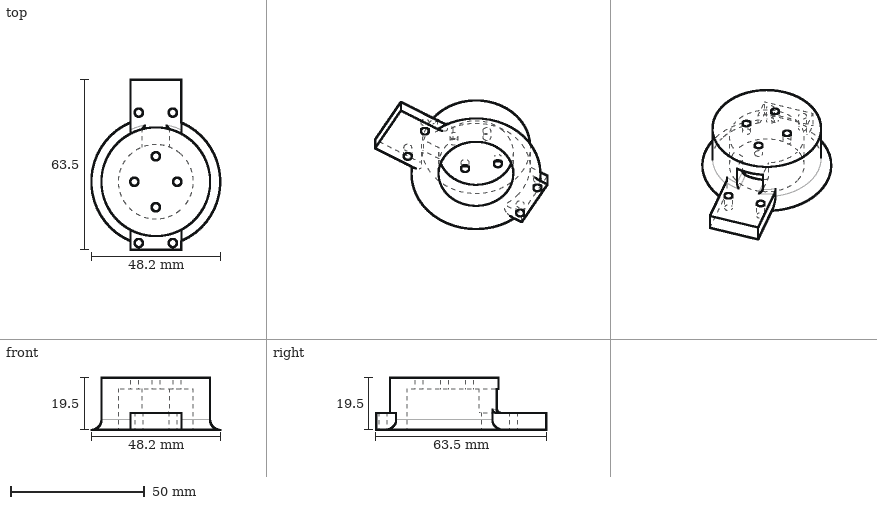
import cadquery as cq
import math

body_diameter = 40.6
body_radius = body_diameter / 2
body_height = 19.5
cavity_diameter = 27.9
cavity_depth = 15.24
skirt_radius = 3.81

pad_width = 19.05
pad_height = 6.35
front_pad_end = -25.4
rear_pad_end = 38.1

slot_width = 10.16
slot_fillet = 1.27

hole_diameter = 3.0
top_hole_x = 8.0
top_hole_y = 9.5
pad_hole_x = 6.35
front_pad_hole_y = -22.86
rear_pad_hole_y = 25.8


def make_flared_body():
    """Solid cylinder whose foot flares out tangent to the wall and the base plane."""
    arc_offset = skirt_radius * (1 - math.sqrt(0.5))
    profile = (
        cq.Workplane("XZ")
        .lineTo(body_radius + skirt_radius, 0)
        .threePointArc((body_radius + arc_offset, arc_offset), (body_radius, skirt_radius))
        .lineTo(body_radius, body_height)
        .lineTo(0, body_height)
        .close()
    )
    return profile.revolve(360, (0, 0, 0), (0, 1, 0))


def make_pads():
    """One bar running under the body; its two ends form the mounting pads."""
    length = rear_pad_end - front_pad_end
    middle_y = (rear_pad_end + front_pad_end) / 2
    return (
        cq.Workplane("XY")
        .center(0, middle_y)
        .rect(pad_width, length)
        .extrude(pad_height)
    )


def make_cavity():
    return cq.Workplane("XY").circle(cavity_diameter / 2).extrude(cavity_depth)


def make_slot():
    """Radial cut through the rear wall, from the pad top up to the cavity ceiling."""
    return (
        cq.Workplane("XY")
        .workplane(offset=pad_height)
        .center(0, rear_pad_end / 2)
        .rect(slot_width, rear_pad_end)
        .extrude(cavity_depth - pad_height)
    )


def make_holes():
    centers = [(-top_hole_x, 0), (top_hole_x, 0), (0, -top_hole_y), (0, top_hole_y)]
    for y in (front_pad_hole_y, rear_pad_hole_y):
        for side in (-1, 1):
            centers.append((side * pad_hole_x, y))
    return cq.Workplane("XY").pushPoints(centers).circle(hole_diameter / 2).extrude(body_height)


def round_slot_foot(part):
    """Fillet the rear wall and the slot sides where they stand on the pad."""
    half_pad = pad_width / 2
    half_slot = slot_width / 2
    wall_edge_y = math.sqrt(body_radius**2 - half_pad**2)
    wall_middle_x = (half_pad + half_slot) / 2
    wall_middle_y = (wall_edge_y + math.sqrt(body_radius**2 - half_slot**2)) / 2
    slot_middle_y = (body_radius + cavity_diameter / 2) / 2
    for side in (-1, 1):
        slot_side = cq.selectors.NearestToPointSelector((side * half_slot, slot_middle_y, pad_height))
        wall_foot = cq.selectors.NearestToPointSelector((side * wall_middle_x, wall_middle_y, pad_height))
        part = part.edges(slot_side + wall_foot).fillet(slot_fillet)
    return part


part = make_flared_body().union(make_pads())
part = part.cut(make_cavity()).cut(make_slot())
part = round_slot_foot(part)
result = part.cut(make_holes())